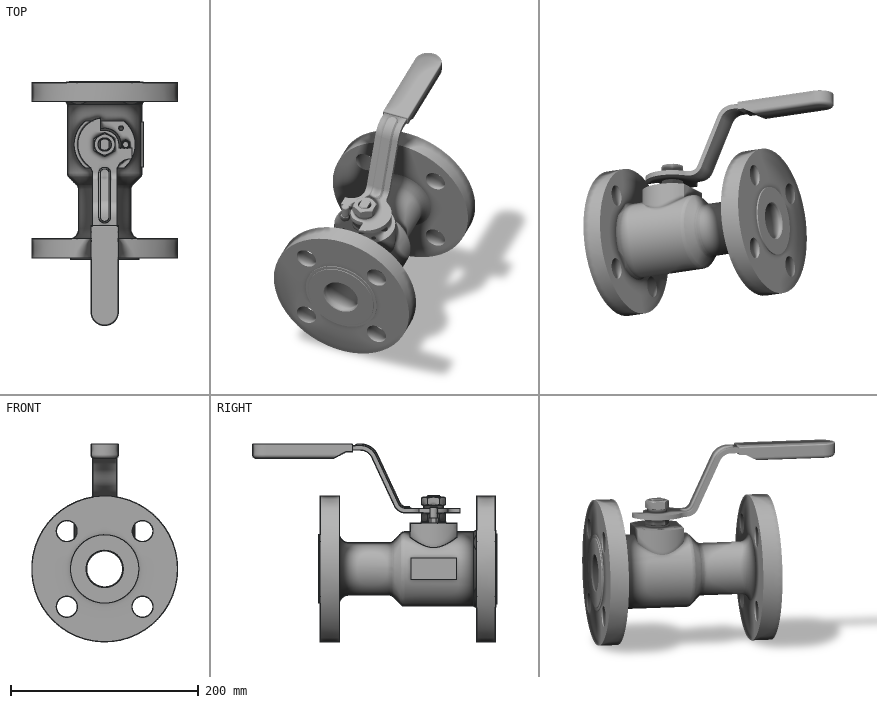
import cadquery as cq
import math


bore_dia = 38.4
bore_chamfer = 0.8
flange_dia = 156.0
body_dia = 79.5
neck_dia = 56.0

rear_end_y = 67.5
rear_face_dia = 75.0
rear_step_dia = 81.7
rear_step_y = 66.8
rear_flange_outer_y = 66.0
rear_flange_inner_y = 46.0
weld_collar_dia = 83.0
weld_end_y = 42.5

shoulder_start_y = -33.1
shoulder_end_y = shoulder_start_y - (body_dia - neck_dia) / 2
shoulder_blend = 5.2

front_flange_inner_y = -100.5
front_flange_outer_y = -121.5
front_face_y = -123.0
front_face_dia = 73.0
flare_radius = 10.5
flare_length = 10.0

bolt_circle_dia = 114.3
bolt_hole_dia = 22.2

pad_dia = 65.3
pad_length = 50.5
pad_top_z = 49.0
stop_hole_offset = 22.5
stop_dia = 7.8
stop_hole_depth = 7.8
small_hole_offset = 17.5
small_hole_dia = 5.0
small_hole_depth = 5.2
drill_point_angle = 118

stem_dia = 14.4
stem_top_z = 78.3
stem_flat_width = 9.1
stem_top_chamfer = 1.0
gland_dia = 35.0
gland_depth = 10.5
gland_collar_dia = 27.0
gland_collar_height = 1.3
hex_width = 22.5
hex_face_dia = 22.2
hex_chamfer_angle = 30
washer_dia = 21.1
nut_bottom_z = 67.9
nut_top_z = 76.7

lever_thickness = 5.0
lever_bottom_z = 59.8
lever_top_z = lever_bottom_z + lever_thickness
lever_width = 25.8
lever_head_radius = 28.7
arm_start_y = -29.8
head_blend_end_y = -31.8
lower_bend_radius = 8.5
upper_bend_radius = 18.3
arm_angle = math.radians(65)
handle_top_z = 131.8
lever_end_y = -178.8

stop_notch_radius = 15.1
stop_notch_left_x = -4.5
stop_edge_y = -stop_dia / 2
stop_lug_x = 29.0
stop_lug_blend = 14.4

bead_width = 12.8
bead_height = 1.8
bead_side_chamfer = 1.7
bead_start_y = -24.3
bead_end_y = -83.8

grip_width = 29.2
grip_top_z = 133.6
grip_start_y = -86.7
grip_end_y = -193.5
grip_neck_bottom_z = 125.0
grip_bottom_z = 118.2
grip_slope_start_y = -93.7
grip_slope_end_y = -106.8
grip_top_fillet = 1.3
grip_bottom_fillet = 3.7

pin_top_z = 66.3
pin_chamfer = 0.65
pin_hex_width = 9.0
pin_hex_height = 5.2

plate_inner_x = 38.0
plate_outer_x = 41.5
plate_length = 48.5
plate_height = 2 * math.sqrt((body_dia / 2) ** 2 - plate_inner_x ** 2)


def cylinder(diameter, bottom_z, top_z, x=0.0, y=0.0):
    """Upright cylinder between two heights."""
    height = top_z - bottom_z
    return cq.Workplane("XY", origin=(x, y, bottom_z)).circle(diameter / 2).extrude(height)


def flow_cylinder(diameter, start_y, end_y, x=0.0, z=0.0):
    """Cylinder parallel to the flow axis."""
    plane = cq.Workplane("XZ", origin=(x, start_y, z))
    return plane.circle(diameter / 2).extrude(start_y - end_y)


def flow_cone(start_dia, start_y, end_dia, end_y):
    """Cone frustum around the flow axis."""
    outline = [(0, start_y), (start_dia / 2, start_y), (end_dia / 2, end_y), (0, end_y)]
    return cq.Workplane("XY").polyline(outline).close().revolve(360, (0, 0), (0, 1))


def hex_corner_dia(width):
    """Diameter across the corners of a hexagon."""
    return width / math.cos(math.radians(30))


def hex_prism(width, bottom_z, top_z):
    """Upright hexagon with flats facing +X and -X."""
    base = cq.Workplane("XY", origin=(0, 0, bottom_z))
    prism = base.polygon(6, hex_corner_dia(width)).extrude(top_z - bottom_z)
    return prism.rotate((0, 0, 0), (0, 0, 1), 30)


def chamfered_hex(bottom_z, top_z):
    """Spanner hexagon with turned corners at both ends."""
    corner_dia = hex_corner_dia(hex_width)
    inset = (corner_dia - hex_face_dia) / 2
    drop = inset * math.tan(math.radians(hex_chamfer_angle))
    envelope = cylinder(corner_dia, bottom_z, top_z).faces("<Z or >Z").chamfer(drop, inset)
    return hex_prism(hex_width, bottom_z, top_z).intersect(envelope)


def body_and_neck():
    """Body, 45 degree shoulder, neck and flare up to the front flange."""
    body_r = body_dia / 2
    neck_r = neck_dia / 2
    flare_start_y = front_flange_inner_y + flare_length
    flare_rise = flare_radius - math.sqrt(flare_radius ** 2 - flare_length ** 2)
    half_angle = math.asin(flare_length / flare_radius) / 2
    flare_mid = (
        neck_r + flare_radius * (1 - math.cos(half_angle)),
        flare_start_y - flare_radius * math.sin(half_angle),
    )
    solid = (
        cq.Workplane("XY")
        .moveTo(0, rear_flange_inner_y)
        .lineTo(body_r, rear_flange_inner_y)
        .lineTo(body_r, shoulder_start_y)
        .lineTo(neck_r, shoulder_end_y)
        .lineTo(neck_r, flare_start_y)
        .threePointArc(flare_mid, (neck_r + flare_rise, front_flange_inner_y))
        .lineTo(0, front_flange_inner_y)
        .close()
        .revolve(360, (0, 0), (0, 1))
    )
    shoulder_edges = cq.selectors.BoxSelector(
        (-body_dia, shoulder_end_y - 0.3, -body_dia),
        (body_dia, shoulder_start_y + 0.3, body_dia),
    )
    return solid.edges("%CIRCLE").edges(shoulder_edges).fillet(shoulder_blend)


def weld_collar():
    """Tapered collar at the rear flange, trimmed flat towards each bolt hole."""
    collar = flow_cone(weld_collar_dia, rear_flange_inner_y, body_dia, weld_end_y)
    trim = cq.Workplane("XY").box(body_dia, 2 * rear_end_y, body_dia).rotate((0, 0, 0), (0, 1, 0), 45)
    return collar.intersect(trim)


def flanges():
    """Both flanges with their raised sealing faces."""
    rear = flow_cylinder(flange_dia, rear_flange_outer_y, rear_flange_inner_y)
    rear_step = flow_cylinder(rear_step_dia, rear_step_y, rear_flange_inner_y)
    rear_face = flow_cylinder(rear_face_dia, rear_end_y, rear_flange_inner_y)
    front = flow_cylinder(flange_dia, front_flange_inner_y, front_flange_outer_y)
    front_face = flow_cylinder(front_face_dia, front_flange_inner_y, front_face_y)
    return rear.union(rear_step).union(rear_face).union(front).union(front_face)


def stem_pad():
    """Round pad with two flats, rising from the body centre."""
    slab = cq.Workplane("XY").box(pad_dia, pad_length, 2 * pad_top_z)
    return cylinder(pad_dia, 0, pad_top_z).intersect(slab)


def bore():
    """Through bore with a chamfer at each end."""
    mouth_dia = bore_dia + 2 * bore_chamfer
    cutter = flow_cylinder(bore_dia, rear_end_y, front_face_y)
    rear_mouth = flow_cone(mouth_dia, rear_end_y, bore_dia, rear_end_y - bore_chamfer)
    front_mouth = flow_cone(bore_dia, front_face_y + bore_chamfer, mouth_dia, front_face_y)
    return cutter.union(rear_mouth).union(front_mouth)


def drilled_hole(x, y):
    """Small blind hole in the pad with a drill point."""
    radius = small_hole_dia / 2
    point = radius / math.tan(math.radians(drill_point_angle / 2))
    outline = [(0, 0), (radius, 0), (radius, -small_hole_depth), (0, -small_hole_depth - point)]
    hole = cq.Workplane("XZ").polyline(outline).close().revolve(360, (0, 0), (0, 1))
    return hole.translate((x, y, pad_top_z))


def name_plate():
    """Flat plate set into the side of the body."""
    thickness = plate_outer_x - plate_inner_x
    plate = cq.Workplane("XY").box(thickness, plate_length, plate_height)
    return plate.translate(((plate_inner_x + plate_outer_x) / 2, 0, 0))


def valve_housing():
    """Housing with its bore, bolt holes, pad holes and recesses."""
    housing = body_and_neck().union(weld_collar()).union(flanges()).union(stem_pad())
    housing = housing.cut(bore())
    bolt_offset = bolt_circle_dia / 2 / math.sqrt(2)
    for side_x in (-1, 1):
        for side in (-1, 1):
            bolt_x = side_x * bolt_offset
            bolt_z = side * bolt_offset
            for start_y, end_y in (
                (rear_flange_outer_y, rear_flange_inner_y),
                (front_flange_inner_y, front_flange_outer_y),
            ):
                housing = housing.cut(flow_cylinder(bolt_hole_dia, start_y, end_y, bolt_x, bolt_z))
            housing = housing.cut(drilled_hole(side_x * small_hole_offset, side * small_hole_offset))
        stop_x = side_x * stop_hole_offset
        housing = housing.cut(cylinder(stop_dia, pad_top_z - stop_hole_depth, pad_top_z, stop_x))
    housing = housing.cut(cylinder(gland_dia, pad_top_z - gland_depth, pad_top_z))
    return housing.cut(name_plate())


def stem():
    """Round stem with two flats from the lever upwards."""
    bottom_z = pad_top_z - gland_depth
    shaft = cylinder(stem_dia, bottom_z, stem_top_z).faces(">Z").chamfer(stem_top_chamfer)
    flat_height = stem_top_z - lever_bottom_z
    flats = cq.Workplane("XY", origin=(0, 0, lever_bottom_z))
    keep = flats.rect(stem_flat_width, stem_dia).extrude(flat_height)
    lower = cylinder(stem_dia, bottom_z, lever_bottom_z)
    return shaft.intersect(keep.union(lower))


def gland():
    """Gland flush with the pad, with a collar and a hexagon under the lever."""
    collar_top_z = pad_top_z + gland_collar_height
    plug = cylinder(gland_dia, pad_top_z - gland_depth, pad_top_z)
    collar = cylinder(gland_collar_dia, pad_top_z, collar_top_z)
    solid = plug.union(collar).union(chamfered_hex(collar_top_z, lever_bottom_z))
    return solid.cut(cylinder(stem_dia, pad_top_z - gland_depth, lever_bottom_z))


def washer():
    """Plain ring between the lever and the nut."""
    ring = cylinder(washer_dia, lever_top_z, nut_bottom_z)
    return ring.cut(cylinder(stem_dia, lever_top_z, nut_bottom_z))


def nut():
    """Hexagon nut at the top of the stem."""
    return chamfered_hex(nut_bottom_z, nut_top_z).cut(cylinder(stem_dia, nut_bottom_z, nut_top_z))


def stop_pin():
    """Pin in the +X stop hole, with a hexagon between the pad and the lever."""
    pin = cylinder(stop_dia, pad_top_z - stop_hole_depth, pin_top_z, stop_hole_offset)
    hexagon = hex_prism(pin_hex_width, pad_top_z, pad_top_z + pin_hex_height)
    hexagon = hexagon.translate((stop_hole_offset, 0, 0))
    return pin.faces(">Z").chamfer(pin_chamfer).union(hexagon)


lower_center = (arm_start_y, lever_top_z + lower_bend_radius)
bend_rise = (lower_bend_radius + upper_bend_radius) * (1 - math.cos(arm_angle))
bend_run = (lower_bend_radius + upper_bend_radius) * math.sin(arm_angle)
arm_run = (handle_top_z - lever_top_z - bend_rise) / math.tan(arm_angle)
handle_start_y = arm_start_y - bend_run - arm_run
upper_center = (handle_start_y, handle_top_z - upper_bend_radius)


def lower_bend_point(height, angle):
    """Point on the lower bend, at a height above the lever's upper surface."""
    radius = lower_bend_radius - height
    return (lower_center[0] - radius * math.sin(angle), lower_center[1] - radius * math.cos(angle))


def upper_bend_point(height, angle):
    """Point on the upper bend, at a height above the lever's upper surface."""
    radius = upper_bend_radius + height
    return (upper_center[0] + radius * math.sin(angle), upper_center[1] + radius * math.cos(angle))


def cranked_strip(low, high, start_y, end_y, width):
    """Strip that follows the crank between two heights over the upper surface."""
    half = arm_angle / 2
    return (
        cq.Workplane("YZ", origin=(-width / 2, 0, 0))
        .moveTo(start_y, lever_top_z + low)
        .lineTo(*lower_bend_point(low, 0))
        .threePointArc(lower_bend_point(low, half), lower_bend_point(low, arm_angle))
        .lineTo(*upper_bend_point(low, arm_angle))
        .threePointArc(upper_bend_point(low, half), upper_bend_point(low, 0))
        .lineTo(end_y, handle_top_z + low)
        .lineTo(end_y, handle_top_z + high)
        .lineTo(*upper_bend_point(high, 0))
        .threePointArc(upper_bend_point(high, half), upper_bend_point(high, arm_angle))
        .lineTo(*lower_bend_point(high, arm_angle))
        .threePointArc(lower_bend_point(high, half), lower_bend_point(high, 0))
        .lineTo(start_y, lever_top_z + high)
        .close()
        .extrude(width)
    )


def lever_outline():
    """Plan shape of the lever. The head is round on the -X side, notched for the stop pin on the +X side."""
    half_width = lever_width / 2
    diagonal = math.sqrt(0.5)
    notch_top_y = math.sqrt(lever_head_radius ** 2 - stop_notch_left_x ** 2)

    blend_end_distance = math.hypot(half_width, head_blend_end_y)
    blend = (blend_end_distance ** 2 - lever_head_radius ** 2) / (2 * (lever_head_radius - half_width))
    blend_center_x = -half_width - blend
    blend_angle = math.atan2(-head_blend_end_y, -blend_center_x)
    blend_mid = (
        blend_center_x + blend * math.cos(blend_angle / 2),
        head_blend_end_y + blend * math.sin(blend_angle / 2),
    )
    blend_end = (-lever_head_radius * math.cos(blend_angle), -lever_head_radius * math.sin(blend_angle))

    lug_center_x = half_width + stop_lug_blend
    lug_bottom_y = arm_start_y + stop_lug_blend
    lug_mid = (lug_center_x - stop_lug_blend * diagonal, arm_start_y + stop_lug_blend * diagonal)
    return (
        cq.Workplane("XY")
        .moveTo(-half_width, lever_end_y)
        .lineTo(-half_width, head_blend_end_y)
        .threePointArc(blend_mid, blend_end)
        .threePointArc((-lever_head_radius, 0), (stop_notch_left_x, notch_top_y))
        .lineTo(stop_notch_left_x, stop_notch_radius)
        .lineTo(0, stop_notch_radius)
        .threePointArc(
            (stop_notch_radius * diagonal, stop_notch_radius * diagonal), (stop_notch_radius, 0)
        )
        .lineTo(stop_notch_radius, stop_edge_y)
        .lineTo(stop_lug_x, stop_edge_y)
        .lineTo(stop_lug_x, lug_bottom_y)
        .lineTo(lug_center_x, lug_bottom_y)
        .threePointArc(lug_mid, (half_width, arm_start_y))
        .lineTo(half_width, lever_end_y)
        .close()
        .extrude(grip_top_z)
    )


def lever_bead():
    """Raised bead with sloping sides and round ends along the crank."""
    length = bead_start_y - bead_end_y
    slot = (
        cq.Workplane("XY")
        .center(0, (bead_start_y + bead_end_y) / 2)
        .slot2D(length, bead_width, 90)
        .extrude(grip_top_z + bead_height)
    )
    strip = cranked_strip(0, bead_height, bead_start_y, bead_end_y, bead_width)
    bead = strip.intersect(slot)
    plain_lever = cranked_strip(-lever_thickness, 0, 0, lever_end_y, grip_width).val()
    top_edges = [edge for edge in bead.val().Edges() if plain_lever.distance(edge) > bead_height / 2]
    return bead.newObject(top_edges).chamfer(bead_side_chamfer)


def lever():
    """Cranked lever with its head, bead and a hole that fits the stem flats."""
    strip = cranked_strip(-lever_thickness, 0, lever_head_radius, lever_end_y, 3 * lever_head_radius)
    return strip.intersect(lever_outline()).union(lever_bead()).cut(stem())


def grip():
    """Moulded grip with a slot for the lever's handle end."""
    profile = [
        (grip_start_y, grip_top_z),
        (grip_start_y, grip_neck_bottom_z),
        (grip_slope_start_y, grip_neck_bottom_z),
        (grip_slope_end_y, grip_bottom_z),
        (grip_end_y, grip_bottom_z),
        (grip_end_y, grip_top_z),
    ]
    side_plane = cq.Workplane("YZ", origin=(-grip_width / 2, 0, 0))
    side_shape = side_plane.polyline(profile).close().extrude(grip_width)
    end_y = grip_end_y + grip_width / 2
    plan_shape = (
        cq.Workplane("XY", origin=(0, 0, grip_bottom_z))
        .moveTo(-grip_width / 2, grip_start_y)
        .lineTo(-grip_width / 2, end_y)
        .threePointArc((0, grip_end_y), (grip_width / 2, end_y))
        .lineTo(grip_width / 2, grip_start_y)
        .close()
        .extrude(grip_top_z - grip_bottom_z)
    )
    solid = side_shape.intersect(plan_shape)
    solid = solid.faces(">Z").edges().fillet(grip_top_fillet)
    solid = solid.faces("<Z").edges("not(<Y and |X)").edges("not |X").fillet(grip_bottom_fillet)
    return solid.cut(cranked_strip(-lever_thickness, 0, bead_start_y, lever_end_y, lever_width))


result = cq.Compound.makeCompound(
    [
        valve_housing().val(),
        name_plate().val(),
        gland().val(),
        stem().val(),
        lever().val(),
        washer().val(),
        nut().val(),
        stop_pin().val(),
        grip().val(),
    ]
)